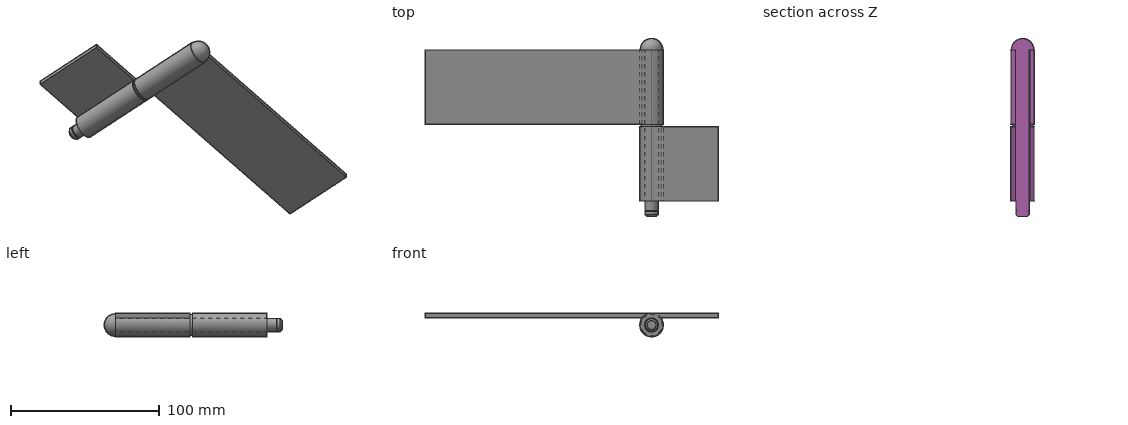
import cadquery as cq

barrel_diameter = 16.0
barrel_length = 50.0
leaf_thickness = 3.2
overall_width = 197.0
short_leaf_reach = 45.0
long_leaf_reach = overall_width - short_leaf_reach

washer_diameter = 14.2
washer_thickness = 1.5

pin_diameter = 9.0
bore_diameter = 9.5
head_radius = 7.7
tail_length = 10.5
tip_chamfer = 1.5
groove_depth = 0.4
groove_width = 0.5
groove_to_tip = 3.5

barrel_radius = barrel_diameter / 2
pin_radius = pin_diameter / 2
bore_radius = bore_diameter / 2
head_seat_y = washer_thickness / 2 + barrel_length
tip_y = -head_seat_y - tail_length


def cylinder_along_y(radius, start_y, length):
    """Cylinder on the pin axis, extending toward +Y from start_y."""
    return cq.Workplane("XZ", origin=(0, start_y, 0)).circle(radius).extrude(-length)


def make_leaf(reach, side, start_y):
    """Flat leaf and bored barrel; side is +1 or -1 for the X direction of the plate."""
    barrel = cylinder_along_y(barrel_radius, start_y, barrel_length)
    plate = cq.Workplane("XY").box(reach, barrel_length, leaf_thickness).translate(
        (side * reach / 2, start_y + barrel_length / 2, barrel_radius - leaf_thickness / 2)
    )
    bore = cylinder_along_y(bore_radius, start_y, barrel_length)
    return barrel.union(plate).cut(bore)


def make_washer():
    """Spacer ring between the two barrels."""
    start_y = -washer_thickness / 2
    ring = cylinder_along_y(washer_diameter / 2, start_y, washer_thickness)
    return ring.cut(cylinder_along_y(bore_radius, start_y, washer_thickness))


def make_pin():
    """Revolved pin with a domed head, a retaining groove and a chamfered tip."""
    groove_start_y = tip_y + groove_to_tip
    groove_end_y = groove_start_y + groove_width
    groove_radius = pin_radius - groove_depth
    dome_offset = head_radius / 2**0.5
    profile = (
        cq.Workplane("XY")
        .moveTo(0, tip_y)
        .lineTo(pin_radius - tip_chamfer, tip_y)
        .lineTo(pin_radius, tip_y + tip_chamfer)
        .lineTo(pin_radius, groove_start_y)
        .lineTo(groove_radius, groove_start_y)
        .lineTo(groove_radius, groove_end_y)
        .lineTo(pin_radius, groove_end_y)
        .lineTo(pin_radius, head_seat_y)
        .lineTo(head_radius, head_seat_y)
        .threePointArc((dome_offset, head_seat_y + dome_offset), (0, head_seat_y + head_radius))
        .close()
    )
    return profile.revolve(360, (0, 0, 0), (0, 1, 0))


long_leaf = make_leaf(long_leaf_reach, -1, washer_thickness / 2)
short_leaf = make_leaf(short_leaf_reach, 1, -head_seat_y)
washer = make_washer()
pin = make_pin()

result = cq.Compound.makeCompound([long_leaf.val(), short_leaf.val(), washer.val(), pin.val()])